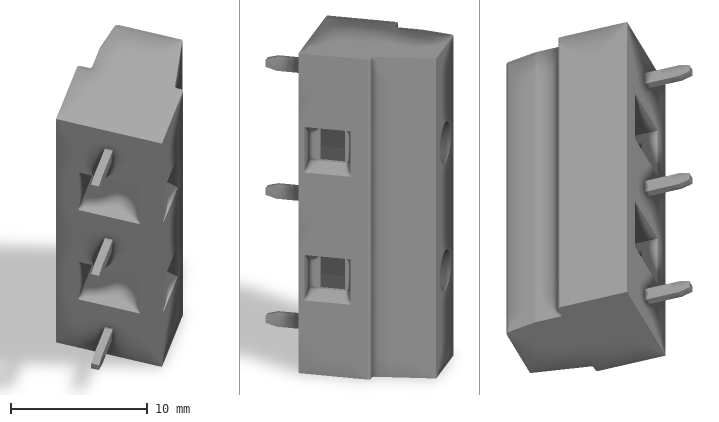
import cadquery as cq

MODULE_PITCH = 10.0
MODULE_COUNT = 2
STACK_HEIGHT = MODULE_COUNT * MODULE_PITCH
END_THICKNESS = 2.5

HOUSING_WIDTH = 8.1
HOUSING_DEPTH = 10.02
SHOULDER_Y = 5.42
LEFT_STEP_X = -3.0
KNEE_Y = 7.52
RIGHT_STEP_X = 3.38
TOP_HALF_WIDTH = 2.55
TOP_LEFT_RADIUS = 0.3
SHOULDER_RADIUS = 0.2

PIN_LENGTH = 3.48
PIN_THICKNESS = 0.6
PIN_HALF_HEIGHT = 0.5
PIN_TIP_HALF_HEIGHT = 0.28
PIN_TAPER_LENGTH = 0.82

POCKET_WIDTH = 4.7
POCKET_HEIGHT = 4.2
POCKET_DEPTH = 5.0
SCREW_HOLE_DIAMETER = 3.1

ENTRY_CENTER_Y = 2.2
THROAT_WIDTH = 1.9
THROAT_HEIGHT = 2.55
THROAT_LENGTH = 0.32
MOUTH_WIDTH = 3.5
MOUTH_HEIGHT = 3.55


def round_upright_edges(block, corners, height, radius):
    """Round the edges parallel to Z that stand on the given outline corners."""
    edges = [
        block.edges(cq.selectors.NearestToPointSelector((x, y, height / 2))).val()
        for x, y in corners
    ]
    return cq.Workplane(block.val().fillet(radius, edges))


def housing_block(height):
    """Housing outline extruded from Z = 0 up to the given height."""
    half_width = HOUSING_WIDTH / 2
    outline = [
        (-half_width, 0),
        (half_width, 0),
        (half_width, SHOULDER_Y),
        (RIGHT_STEP_X, SHOULDER_Y),
        (TOP_HALF_WIDTH, HOUSING_DEPTH),
        (-TOP_HALF_WIDTH, HOUSING_DEPTH),
        (LEFT_STEP_X, KNEE_Y),
        (LEFT_STEP_X, SHOULDER_Y),
        (-half_width, SHOULDER_Y),
    ]
    block = cq.Workplane("XY").polyline(outline).close().extrude(height)
    top_left_corner = outline[5]
    shoulder_corners = [outline[2], outline[3], outline[7], outline[8]]
    block = round_upright_edges(block, [top_left_corner], height, TOP_LEFT_RADIUS)
    return round_upright_edges(block, shoulder_corners, height, SHOULDER_RADIUS)


def half_pin(joint_z, side):
    """Half of a tapered pin on the +Z (side = 1) or -Z (side = -1) side of a joint."""
    taper_start_y = PIN_TAPER_LENGTH - PIN_LENGTH
    profile = [
        (0, joint_z),
        (0, joint_z + side * PIN_HALF_HEIGHT),
        (taper_start_y, joint_z + side * PIN_HALF_HEIGHT),
        (-PIN_LENGTH, joint_z + side * PIN_TIP_HALF_HEIGHT),
        (-PIN_LENGTH, joint_z),
    ]
    return cq.Workplane("YZ").polyline(profile).close().extrude(PIN_THICKNESS / 2, both=True)


def wire_entry(center_z):
    """Throat and flared mouth from the pocket out through the +X wall."""
    throat_x = POCKET_WIDTH / 2
    mouth_x = throat_x + THROAT_LENGTH
    throat = (
        cq.Workplane("YZ", origin=(0, ENTRY_CENTER_Y, center_z))
        .rect(THROAT_WIDTH, THROAT_HEIGHT)
        .extrude(mouth_x)
    )
    mouth = (
        cq.Workplane("YZ", origin=(mouth_x, ENTRY_CENTER_Y, center_z))
        .rect(MOUTH_WIDTH, THROAT_HEIGHT)
        .workplane(offset=HOUSING_WIDTH / 2 - mouth_x)
        .rect(MOUTH_WIDTH, MOUTH_HEIGHT)
        .loft(ruled=True)
    )
    return throat.union(mouth)


def wire_module(bottom_z):
    """One pole: housing with pocket, screw hole, wire entry and a half pin at each joint."""
    center_z = bottom_z + MODULE_PITCH / 2
    pocket = (
        cq.Workplane("XZ", origin=(0, 0, center_z))
        .rect(POCKET_WIDTH, POCKET_HEIGHT)
        .extrude(-POCKET_DEPTH)
    )
    screw_hole = (
        cq.Workplane("XZ", origin=(0, 0, center_z))
        .circle(SCREW_HOLE_DIAMETER / 2)
        .extrude(-HOUSING_DEPTH)
    )
    return (
        housing_block(MODULE_PITCH)
        .translate((0, 0, bottom_z))
        .cut(pocket)
        .cut(screw_hole)
        .cut(wire_entry(center_z))
        .union(half_pin(bottom_z, 1))
        .union(half_pin(bottom_z + MODULE_PITCH, -1))
    )


def end_piece(joint_z, side):
    """Plain end piece on the +Z (side = 1) or -Z (side = -1) side of its joint."""
    bottom_z = min(joint_z, joint_z + side * END_THICKNESS)
    block = housing_block(END_THICKNESS).translate((0, 0, bottom_z))
    return block.union(half_pin(joint_z, side))


modules = [
    wire_module(-STACK_HEIGHT / 2 + index * MODULE_PITCH)
    for index in range(MODULE_COUNT)
]
end_pieces = [end_piece(side * STACK_HEIGHT / 2, side) for side in (-1, 1)]

result = cq.Compound.makeCompound([body.val() for body in modules + end_pieces])